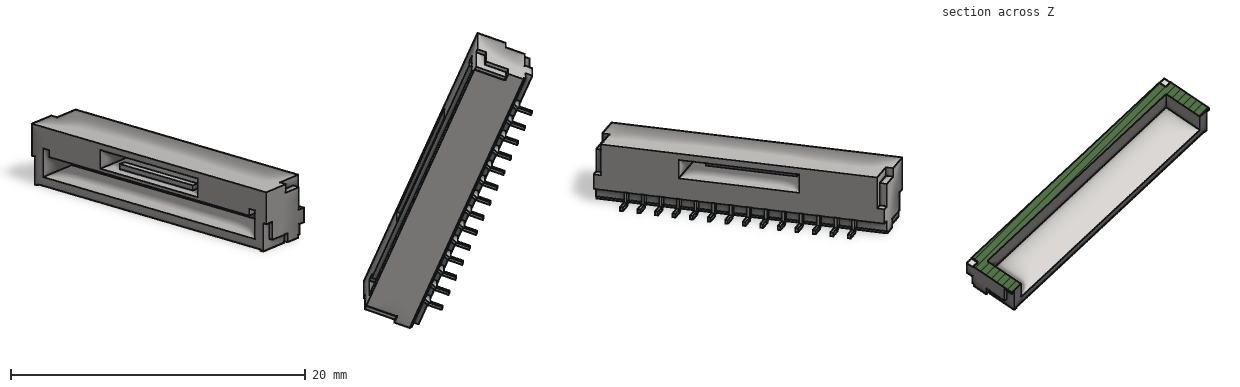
import cadquery as cq

LENGTH = 20.75
DEPTH = 4.03
OVERALL_DEPTH = 4.85
OVERALL_HEIGHT = 4.35
HOUSING_HEIGHT = 4.27
END_X = LENGTH / 2

RELIEF_TOP = 3.32
RELIEF_DEPTH = 0.5
STEP_TOP = 4.07
STEP_DEPTH = 0.62

SLOT_LENGTH = 18.74
SLOT_TOP = 2.05
SLOT_BOTTOM = 3.63
SLOT_DEPTH = 3.0
KEY_WIDTH = 0.52
KEY_TOP = 1.55

WINDOW_LENGTH = 8.6
WINDOW_TOP = 0.45
WINDOW_BOTTOM = 1.8
RIB_LENGTH = 6.47
RIB_HEIGHT = 0.37
RIB_SETBACK = 0.77
RIB_DEPTH = 0.5

RECESS_DEPTH = 0.52
REAR_TOP_DEPTH = 1.95
REAR_TOP_HEIGHT = 0.62
REAR_LEG_DEPTH = 0.55
REAR_LEG_BOTTOM = 2.26
FRONT_LEG_DEPTH = 0.65
FRONT_LEG_TOP = 2.32
FRONT_FOOT_TOP = 3.63
FRONT_FOOT_DEPTH = 2.26

TAB_THICKNESS = RECESS_DEPTH / 2
TAB_FOOT_DEPTH = 2.2

PIN_COUNT = 14
PIN_ROW_LENGTH = 16.25
PIN_WIDTH = 0.2
PIN_THICKNESS = 0.27
PIN_LEG_SETBACK = 0.08
PIN_BEND = 0.31


def box(x_min, x_max, y_min, y_max, top, bottom):
    """Box between two X and two Y limits; top and bottom are distances below the top face."""
    corner = cq.Vector(x_min, y_min, -bottom)
    return cq.Workplane(obj=cq.Solid.makeBox(x_max - x_min, y_max - y_min, bottom - top, corner))


def centred_box(length, y_min, y_max, top, bottom):
    """Box centred on X."""
    return box(-length / 2, length / 2, y_min, y_max, top, bottom)


def side_profile(points, x_start, width):
    """Extrude a (Y, depth below top) outline along +X."""
    outline = [(y, -drop) for y, drop in points]
    return cq.Workplane("YZ", origin=(x_start, 0, 0)).polyline(outline).close().extrude(width)


def both_ends(shape):
    """The shape together with its mirror image at the other end."""
    return shape.union(shape.mirror("YZ"))


def make_housing():
    return side_profile(
        [
            (0, 0),
            (DEPTH, 0),
            (DEPTH, RELIEF_TOP),
            (DEPTH - RELIEF_DEPTH, RELIEF_TOP),
            (DEPTH - RELIEF_DEPTH, STEP_TOP),
            (DEPTH - STEP_DEPTH, STEP_TOP),
            (DEPTH - STEP_DEPTH, HOUSING_HEIGHT),
            (0, HOUSING_HEIGHT),
        ],
        -END_X,
        LENGTH,
    )


def make_slot():
    slot = centred_box(SLOT_LENGTH, 0, SLOT_DEPTH, SLOT_TOP, SLOT_BOTTOM)
    slot_end = -SLOT_LENGTH / 2
    key = box(slot_end, slot_end + KEY_WIDTH, 0, SLOT_DEPTH, KEY_TOP, SLOT_BOTTOM)
    return slot.union(both_ends(key))


def make_window():
    return centred_box(WINDOW_LENGTH, 0, DEPTH, WINDOW_TOP, WINDOW_BOTTOM)


def make_latch_rib():
    rib_top = WINDOW_BOTTOM - RIB_HEIGHT
    return centred_box(RIB_LENGTH, RIB_SETBACK, RIB_SETBACK + RIB_DEPTH, rib_top, SLOT_TOP)


def make_rear_recess():
    inner_x = -END_X + RECESS_DEPTH
    top_arm = box(-END_X, inner_x, DEPTH - REAR_TOP_DEPTH, DEPTH, 0, REAR_TOP_HEIGHT)
    rear_leg = box(-END_X, inner_x, DEPTH - REAR_LEG_DEPTH, DEPTH, 0, REAR_LEG_BOTTOM)
    return top_arm.union(rear_leg)


def front_bracket(foot_depth, bottom, x_start, width):
    """L outline with a leg up the mating face and a foot along the underside."""
    return side_profile(
        [
            (0, FRONT_LEG_TOP),
            (FRONT_LEG_DEPTH, FRONT_LEG_TOP),
            (FRONT_LEG_DEPTH, FRONT_FOOT_TOP),
            (foot_depth, FRONT_FOOT_TOP),
            (foot_depth, bottom),
            (0, bottom),
        ],
        x_start,
        width,
    )


def make_pin(x_centre):
    leg_back = DEPTH - PIN_LEG_SETBACK
    leg_front = DEPTH - RELIEF_DEPTH
    foot_top = OVERALL_HEIGHT - PIN_THICKNESS
    return side_profile(
        [
            (leg_front, RELIEF_TOP),
            (leg_back, RELIEF_TOP),
            (leg_back, foot_top),
            (OVERALL_DEPTH, foot_top),
            (OVERALL_DEPTH, OVERALL_HEIGHT),
            (leg_front + PIN_BEND, OVERALL_HEIGHT),
            (leg_front, OVERALL_HEIGHT - PIN_BEND),
        ],
        x_centre - PIN_WIDTH / 2,
        PIN_WIDTH,
    )


front_recess = front_bracket(FRONT_FOOT_DEPTH, HOUSING_HEIGHT, -END_X, RECESS_DEPTH)
solder_tab = front_bracket(TAB_FOOT_DEPTH, OVERALL_HEIGHT, -END_X + TAB_THICKNESS, TAB_THICKNESS)

result = make_housing().cut(make_slot()).cut(make_window())
result = result.cut(both_ends(make_rear_recess())).cut(both_ends(front_recess))
result = result.union(make_latch_rib()).union(both_ends(solder_tab))

first_pin_x = -PIN_ROW_LENGTH / 2
pin_pitch = PIN_ROW_LENGTH / (PIN_COUNT - 1)
for index in range(PIN_COUNT):
    result = result.union(make_pin(first_pin_x + index * pin_pitch))